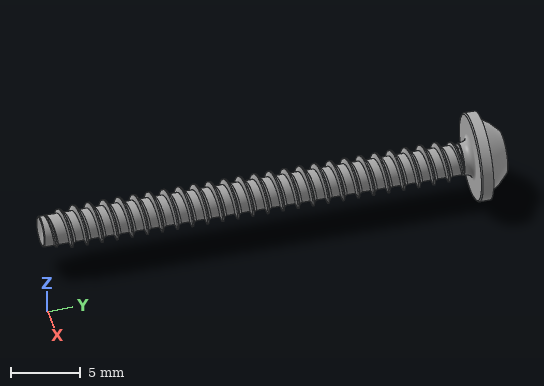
import cadquery as cq
import math

total_length = 34.3

flange_radius = 3.25
flange_height = 0.9
flange_chamfer = 0.1
dome_base_radius = 2.8
dome_top_radius = 1.6
dome_height = 1.47
dome_bulge = 0.07

core_radius = 1.13
neck_radius = 1.2
neck_fillet = 0.5
neck_straight = 0.2
neck_taper = 0.07
tip_chamfer = 0.07
tip_hollow_depth = 0.15

crest_radius = 1.5
flare_radius = 1.25
root_radius = 1.05
faded_crest_radius = 1.1
half_crest_width = 0.05
lower_root_width = 0.2
upper_flare_width = 0.155
upper_root_width = 0.45
thread_bottom = -31.65
thread_top = -0.3
thread_turns = 28
fade_turns = 1.5
thread_start_angle = 180

head_top = flange_height + dome_height
tip = head_top - total_length
pitch = (thread_top - thread_bottom) / thread_turns


def make_body():
    """Head, filleted neck and plain core with a hollow tip, as one turned solid."""
    dome_middle = (
        (dome_base_radius + dome_top_radius) / 2 + dome_bulge,
        flange_height + dome_height / 2 + dome_bulge,
    )
    fillet_middle = neck_fillet * (1 - math.sqrt(0.5))
    neck_bottom = -neck_fillet - neck_straight
    profile = (
        cq.Workplane("XZ")
        .moveTo(0, head_top)
        .lineTo(dome_top_radius, head_top)
        .threePointArc(dome_middle, (dome_base_radius, flange_height))
        .lineTo(flange_radius, flange_height)
        .lineTo(flange_radius, flange_chamfer)
        .lineTo(flange_radius - flange_chamfer, 0)
        .lineTo(neck_radius + neck_fillet, 0)
        .threePointArc(
            (neck_radius + fillet_middle, -fillet_middle),
            (neck_radius, -neck_fillet),
        )
        .lineTo(neck_radius, neck_bottom)
        .lineTo(core_radius, neck_bottom - neck_taper)
        .lineTo(core_radius, tip + tip_chamfer)
        .lineTo(core_radius - tip_chamfer, tip)
        .lineTo(0, tip + tip_hollow_depth)
        .close()
    )
    return profile.revolve(360, (0, 0, 0), (0, 1, 0))


def make_rail(start_radius, end_radius, start_height, turns):
    """Right-hand helix whose radius changes evenly from its lower to its upper end."""
    rise = turns * pitch
    if start_radius == end_radius:
        helix = cq.Wire.makeHelix(pitch, rise, start_radius)
    else:
        cone_angle = math.atan2(end_radius - start_radius, rise)
        slant = 1 / math.cos(cone_angle)
        helix = cq.Wire.makeHelix(
            pitch * slant, rise * slant, start_radius, angle=math.degrees(cone_angle)
        )
    return helix.translate(cq.Vector(0, 0, start_height))


def make_thread_section(start_turn, turns, start_height, end_height):
    """Closed stretch of ridge; its heights run from 0 (faded) to 1 (full)."""

    def radius_at(full_radius, height):
        """Radius of a profile corner where the ridge stands at the given height."""
        share = (full_radius - root_radius) / (crest_radius - root_radius)
        current_crest = faded_crest_radius + height * (crest_radius - faded_crest_radius)
        return root_radius + share * (current_crest - root_radius)

    ridge_profile = [
        (root_radius, -lower_root_width),
        (crest_radius, -half_crest_width),
        (crest_radius, half_crest_width),
        (flare_radius, upper_flare_width),
        (root_radius, upper_root_width),
    ]
    base = thread_bottom + start_turn * pitch
    rails = [
        make_rail(
            radius_at(radius, start_height), radius_at(radius, end_height), base + offset, turns
        )
        for radius, offset in ridge_profile
    ]
    faces = []
    for index, rail in enumerate(rails):
        faces.extend(cq.Face.makeRuledSurface(rail, rails[index - 1]).Faces())
    for end in (0, 1):
        corners = [rail.positionAt(end) for rail in rails]
        faces.append(cq.Face.makeFromWires(cq.Wire.makePolygon(corners, close=True)))
    section = cq.Solid.makeSolid(cq.Shell.makeShell(faces)).fix()
    turn_angle = thread_start_angle + 360 * start_turn
    return section.rotate(cq.Vector(0, 0, 0), cq.Vector(0, 0, 1), turn_angle)


full_turns = thread_turns - 2 * fade_turns
thread_sections = [
    make_thread_section(0, fade_turns, 0, 1),
    make_thread_section(fade_turns, full_turns, 1, 1),
    make_thread_section(fade_turns + full_turns, fade_turns, 1, 0),
]

screw = make_body()
for thread_section in thread_sections:
    screw = screw.union(cq.Workplane(thread_section))

result = screw.rotate((0, 0, 0), (1, 0, 0), -90)